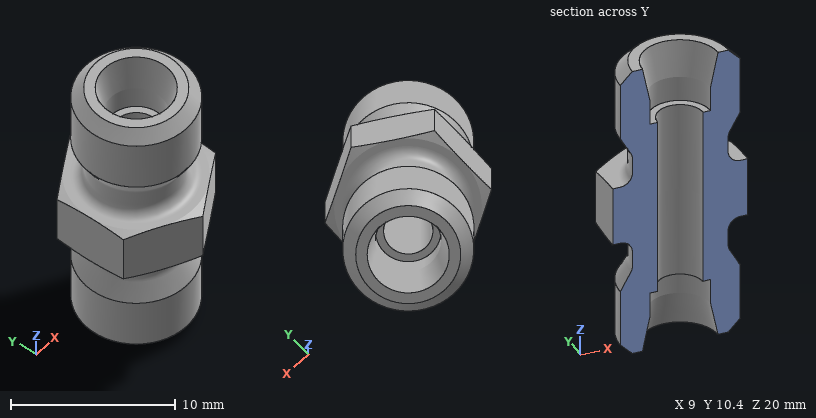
import cadquery as cq
import math

LENGTH = 20.0
HEX_ACROSS_FLATS = 9.0
HEX_HEIGHT = 4.0
HEX_CHAMFER_ANGLE = 15.0

THREAD_DIAMETER = 8.0
THREAD_END_DISTANCE = 4.6
TIP_CHAMFER = 0.8
RUNOUT_ANGLE = 30.0

NECK_DIAMETER = 6.4
NECK_FILLET = 0.8

BORE_DIAMETER = 3.0
SOCKET_DIAMETER = 4.0
SOCKET_DEPTH = 4.0
MOUTH_DIAMETER = 5.0
MOUTH_HALF_ANGLE = 12.0

half_length = LENGTH / 2
half_hex = HEX_HEIGHT / 2
thread_radius = THREAD_DIAMETER / 2
neck_radius = NECK_DIAMETER / 2


def make_hexagon():
    """Hexagon with flats facing +X and -X and conically chamfered corners."""
    corner_diameter = HEX_ACROSS_FLATS / math.cos(math.radians(30))
    corner_radius = corner_diameter / 2
    flat_radius = HEX_ACROSS_FLATS / 2
    prism = (
        cq.Workplane("XY", origin=(0, 0, -half_hex))
        .polygon(6, corner_diameter)
        .extrude(HEX_HEIGHT)
        .rotate((0, 0, 0), (0, 0, 1), 30)
    )
    outer_radius = corner_radius + 0.2
    drop = (outer_radius - flat_radius) * math.tan(math.radians(HEX_CHAMFER_ANGLE))
    envelope = (
        cq.Workplane("XZ")
        .moveTo(0, -half_hex)
        .lineTo(flat_radius, -half_hex)
        .lineTo(outer_radius, -half_hex + drop)
        .lineTo(outer_radius, half_hex - drop)
        .lineTo(flat_radius, half_hex)
        .lineTo(0, half_hex)
        .close()
        .revolve(360, (0, 0), (0, 1))
    )
    return prism.intersect(envelope)


def make_upper_end():
    """Neck, runout cone and thread envelope standing on the hexagon."""
    runout = math.radians(RUNOUT_ANGLE)
    thread_bottom = half_length - THREAD_END_DISTANCE
    cone_length = (thread_radius - neck_radius) / math.tan(runout)
    cone_bottom = thread_bottom - cone_length

    tangent_length = NECK_FILLET * math.tan(runout / 2)
    arc_start = cone_bottom - tangent_length
    arc_end = (
        neck_radius + tangent_length * math.sin(runout),
        cone_bottom + tangent_length * math.cos(runout),
    )
    arc_middle = (
        neck_radius + NECK_FILLET * (1 - math.cos(runout / 2)),
        arc_start + NECK_FILLET * math.sin(runout / 2),
    )

    foot_radius = neck_radius + NECK_FILLET
    foot_middle = (
        foot_radius - NECK_FILLET * math.cos(math.radians(45)),
        half_hex + NECK_FILLET * (1 - math.sin(math.radians(45))),
    )
    return (
        cq.Workplane("XZ")
        .moveTo(0, 0)
        .lineTo(foot_radius, 0)
        .lineTo(foot_radius, half_hex)
        .threePointArc(foot_middle, (neck_radius, half_hex + NECK_FILLET))
        .lineTo(neck_radius, arc_start)
        .threePointArc(arc_middle, arc_end)
        .lineTo(thread_radius, thread_bottom)
        .lineTo(thread_radius, half_length - TIP_CHAMFER)
        .lineTo(thread_radius - TIP_CHAMFER, half_length)
        .lineTo(0, half_length)
        .close()
        .revolve(360, (0, 0), (0, 1))
    )


def make_upper_cavity():
    """Through bore, tube socket and tapered mouth of the upper half."""
    bore_radius = BORE_DIAMETER / 2
    socket_radius = SOCKET_DIAMETER / 2
    mouth_radius = MOUTH_DIAMETER / 2
    mouth_depth = (mouth_radius - socket_radius) / math.tan(math.radians(MOUTH_HALF_ANGLE))
    socket_floor = half_length - SOCKET_DEPTH
    return (
        cq.Workplane("XZ")
        .moveTo(0, 0)
        .lineTo(bore_radius, 0)
        .lineTo(bore_radius, socket_floor)
        .lineTo(socket_radius, socket_floor)
        .lineTo(socket_radius, half_length - mouth_depth)
        .lineTo(mouth_radius, half_length)
        .lineTo(0, half_length)
        .close()
        .revolve(360, (0, 0), (0, 1))
    )


def with_mirror(half):
    """Join an upper half to its mirror image below the XY plane."""
    return half.union(half.mirror("XY"))


result = make_hexagon().union(with_mirror(make_upper_end())).cut(with_mirror(make_upper_cavity()))